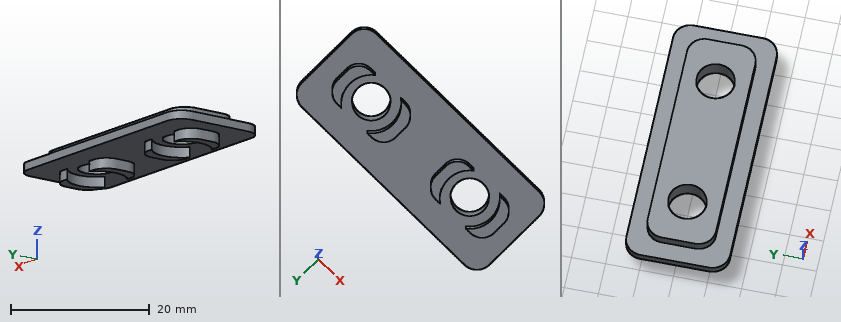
import cadquery as cq

FLANGE_LENGTH = 38.1
FLANGE_WIDTH = 15.24
FLANGE_THICKNESS = 1.27
PLATE_CORNER_RADIUS = 2.54

RIM_WIDTH = 2.6
PAD_LENGTH = FLANGE_LENGTH - 2 * RIM_WIDTH
PAD_WIDTH = FLANGE_WIDTH - 2 * RIM_WIDTH

TOTAL_HEIGHT = 4.38
PAD_HEIGHT = (TOTAL_HEIGHT - FLANGE_THICKNESS) / 2
LUG_HEIGHT = TOTAL_HEIGHT - FLANGE_THICKNESS - PAD_HEIGHT

HOLE_DIAMETER = 5.56
HOLE_SPACING = 20.0
HOLE_CENTERS = [(-HOLE_SPACING / 2, 0), (HOLE_SPACING / 2, 0)]

LUG_PAIR_LENGTH = 11.89
LUG_WIDTH = 6.86
LUG_CORNER_RADIUS = 2.41
LUG_BORE_DIAMETER = 8.64


def rounded_block(length, width, height, corner_radius, bottom_z):
    """Rectangular block with rounded vertical edges, centred on the Z axis."""
    block = cq.Workplane("XY").workplane(offset=bottom_z).rect(length, width).extrude(height)
    return block.edges("|Z").fillet(corner_radius)


def make_lug_pair(center):
    """Two lugs below the flange on either side of one hole, with concave inner faces."""
    block = rounded_block(LUG_PAIR_LENGTH, LUG_WIDTH, LUG_HEIGHT, LUG_CORNER_RADIUS, -LUG_HEIGHT)
    bore = cq.Workplane("XY").circle(LUG_BORE_DIAMETER / 2).extrude(-LUG_HEIGHT)
    return block.cut(bore).translate((center[0], center[1], 0))


def make_hole_cutters():
    """Cylinders through the flange and the pad."""
    hole_depth = FLANGE_THICKNESS + PAD_HEIGHT
    return cq.Workplane("XY").pushPoints(HOLE_CENTERS).circle(HOLE_DIAMETER / 2).extrude(hole_depth)


flange = rounded_block(FLANGE_LENGTH, FLANGE_WIDTH, FLANGE_THICKNESS, PLATE_CORNER_RADIUS, 0)
pad = rounded_block(PAD_LENGTH, PAD_WIDTH, PAD_HEIGHT, PLATE_CORNER_RADIUS, FLANGE_THICKNESS)

body = flange.union(pad)
for hole_center in HOLE_CENTERS:
    body = body.union(make_lug_pair(hole_center))

result = body.cut(make_hole_cutters())